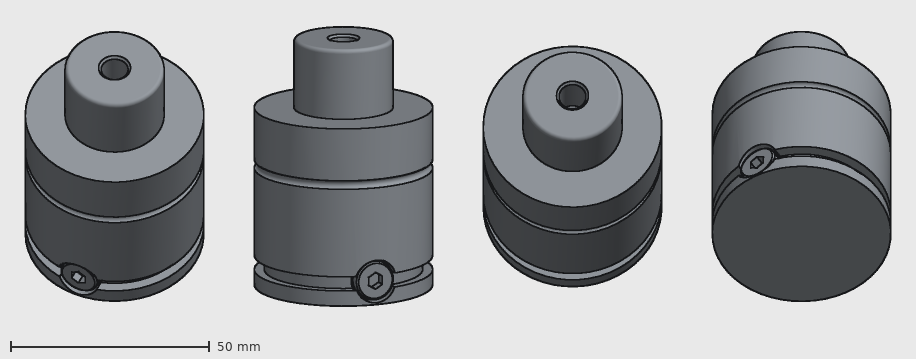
import cadquery as cq
import math

total_height = 64.0
body_diameter = 45.0
shoulder_height = 46.0
rod_diameter = 25.0
rod_edge_radius = 1.0

ring_groove_height = 31.4
ring_groove_radius = 1.1

clamp_groove_bottom = 4.0
clamp_groove_top = 7.6
clamp_groove_diameter = 39.95

hole_diameter = 6.8
hole_mouth_diameter = 8.05
hole_depth = 12.8
drill_point_angle = 118.0

plug_height = 6.0
bore_diameter = 11.0
bore_floor_distance = 18.9
plug_diameter = 10.0
plug_face_distance = 21.75
plug_chamfer = 0.45
hex_across_flats = 3.7
hex_depth = 2.55

body_radius = body_diameter / 2
rod_radius = rod_diameter / 2


def make_body():
    """Revolve the stepped body with both outer grooves and the rounded rod end."""
    floor_radius = clamp_groove_diameter / 2
    arc_inset = rod_edge_radius * (1 - math.sqrt(0.5))
    profile = (
        cq.Workplane("XZ")
        .lineTo(body_radius, 0)
        .lineTo(body_radius, clamp_groove_bottom)
        .lineTo(floor_radius, clamp_groove_bottom)
        .lineTo(floor_radius, clamp_groove_top)
        .lineTo(body_radius, clamp_groove_top)
        .lineTo(body_radius, ring_groove_height - ring_groove_radius)
        .threePointArc(
            (body_radius - ring_groove_radius, ring_groove_height),
            (body_radius, ring_groove_height + ring_groove_radius),
        )
        .lineTo(body_radius, shoulder_height)
        .lineTo(rod_radius, shoulder_height)
        .lineTo(rod_radius, total_height - rod_edge_radius)
        .threePointArc(
            (rod_radius - arc_inset, total_height - arc_inset),
            (rod_radius - rod_edge_radius, total_height),
        )
        .lineTo(0, total_height)
        .close()
    )
    return profile.revolve(360, (0, 0), (0, 1))


def make_rod_hole():
    """Revolve the hole with its chamfered mouth and drill point."""
    hole_radius = hole_diameter / 2
    mouth_radius = hole_mouth_diameter / 2
    mouth_chamfer = mouth_radius - hole_radius
    hole_bottom = total_height - hole_depth
    point_depth = hole_radius / math.tan(math.radians(drill_point_angle / 2))
    profile = (
        cq.Workplane("XZ")
        .moveTo(0, total_height)
        .lineTo(mouth_radius, total_height)
        .lineTo(hole_radius, total_height - mouth_chamfer)
        .lineTo(hole_radius, hole_bottom)
        .lineTo(0, hole_bottom - point_depth)
        .close()
    )
    return profile.revolve(360, (0, 0), (0, 1))


def plug_plane(distance):
    """Workplane on the plug axis, facing -Y at the given distance from the body axis."""
    return cq.Workplane("XZ", origin=(0, -distance, plug_height))


def add_side_plug(body):
    """Cut the side bore, then add the chamfered plug with its hex socket."""
    bore = plug_plane(bore_floor_distance).circle(bore_diameter / 2).extrude(body_radius)
    plug_root = body_radius / 2
    plug = plug_plane(plug_root).circle(plug_diameter / 2).extrude(plug_face_distance - plug_root)
    plug = plug.faces("<Y").chamfer(plug_chamfer)
    hex_diameter = hex_across_flats / math.cos(math.pi / 6)
    socket = (
        plug_plane(plug_face_distance)
        .transformed(rotate=(0, 0, 90))
        .polygon(6, hex_diameter)
        .extrude(-hex_depth)
    )
    return body.cut(bore).union(plug).cut(socket)


result = add_side_plug(make_body().cut(make_rod_hole()))